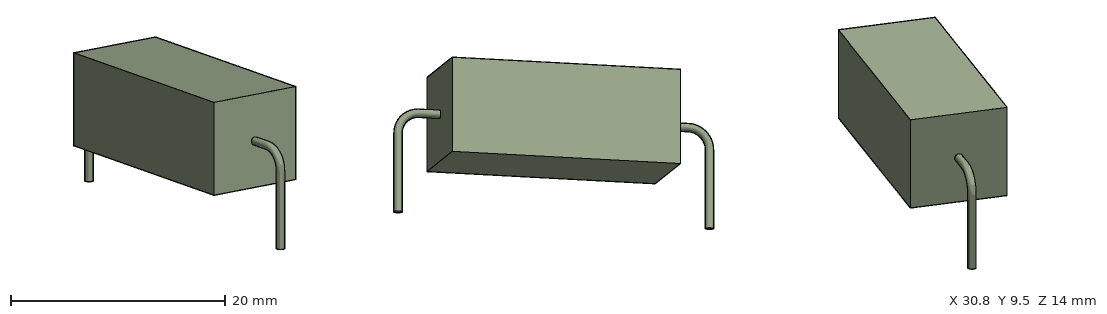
import cadquery as cq

body_length = 22.0
body_width = 9.5
body_height = 9.0

overall_length = 30.8
overall_height = 14.0
wire_diameter = 0.8
bend_radius = 2.0

wire_radius = wire_diameter / 2
lead_x = overall_length / 2 - wire_radius
lead_z = body_height / 2
lead_bottom_z = body_height - overall_height
bend_start_x = lead_x - bend_radius
bend_end_z = lead_z - bend_radius


def make_body():
    """Rectangular block standing on the XY plane."""
    return cq.Workplane("XY").box(body_length, body_width, body_height, centered=(True, True, False))


def make_lead():
    """Lead on the +X end: straight out, a quarter bend, then straight down."""
    outward = (
        cq.Workplane("YZ", origin=(0, 0, lead_z))
        .circle(wire_radius)
        .extrude(bend_start_x)
    )
    bend = (
        cq.Workplane("XY", origin=(lead_x, 0, bend_end_z))
        .circle(wire_radius)
        .revolve(90, (-bend_radius, 0.3, 0), (-bend_radius, 0, 0))
    )
    downward = (
        cq.Workplane("XY", origin=(lead_x, 0, lead_bottom_z))
        .circle(wire_radius)
        .extrude(bend_end_z - lead_bottom_z)
    )
    return outward.union(bend).union(downward)


lead = make_lead()
result = make_body().union(lead).union(lead.mirror("YZ"))